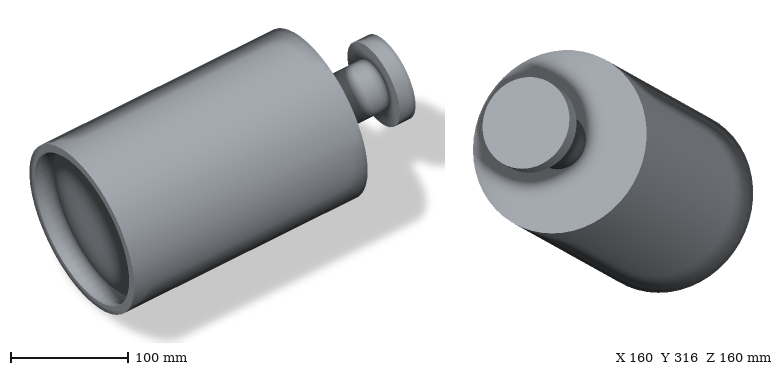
import cadquery as cq

total_length = 316.0
body_diameter = 160.0
body_length = 240.0
wall_thickness = 8.0
recess_depth = 20.0
neck_diameter = 48.0
flange_diameter = body_diameter / 2
flange_thickness = 16.0

recess_diameter = body_diameter - 2 * wall_thickness
neck_length = total_length - body_length - flange_thickness


def cylinder_along_y(diameter, start, length):
    """Solid cylinder on the Y axis, running from start towards +Y."""
    base = cq.Workplane("XZ", origin=(0, start, 0))
    return base.circle(diameter / 2).extrude(-length)


body = cylinder_along_y(body_diameter, 0, body_length)
neck = cylinder_along_y(neck_diameter, body_length, neck_length)
flange = cylinder_along_y(flange_diameter, body_length + neck_length, flange_thickness)

recess = cylinder_along_y(recess_diameter, 0, recess_depth)

result = body.union(neck).union(flange).cut(recess)